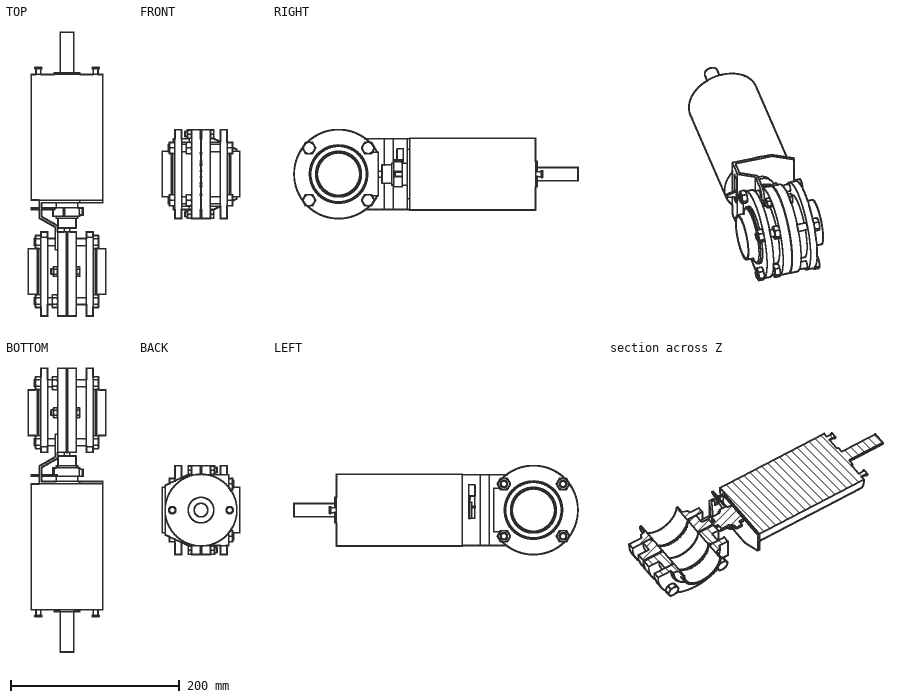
import cadquery as cq
import math


bore_diameter = 50.0
pipe_diameter = 54.0
pipe_end = 46.0
body_radius = 52.8
disc_half_thickness = 11.0
half_gap = 0.5
body_top = 47.0
hub_diameter = 76.0
flange_inner = 23.0
flange_outer = 31.0
seal_groove_diameter = 53.5
seal_groove_width = 1.7
shoulder_top = 40.5
tab_half_width = 26.0

fillet_start = 39.0
fillet_end = 36.0
fillet_end_radius = 29.0
collar_face = 35.0
collar_face_radius = 33.0
collar_chamfer_end = 33.3
collar_diameter = 69.0

flange_bolt_y = 35.0
flange_bolt_z = 31.0
flange_bolt_places = [
    (y, z)
    for y in (-flange_bolt_y, flange_bolt_y)
    for z in (-flange_bolt_z, flange_bolt_z)
]
flange_bolt_diameter = 8.5
flange_hex_flats = 13.5
flange_hex_height = 6.5
flange_bolt_end = 39.0
body_bolt_z = 47.5
body_bolt_diameter = 6.5
body_nut_flats = 10.0
body_nut_height = 5.0
body_head_height = 4.0
body_bolt_end = 19.0
hex_chamfer = 1.0
bolt_chamfer = 0.7

sheet = 3.0
bracket_half_width = 42.0
bracket_end = 25.5
bracket_end_rounding = 9.5
lower_bend_y = 52.5
upper_bend_y = 63.2
upper_leg_x = -33.0
slot_y = (69.2, 76.3)
slot_z = (-9.7, 30.0)
plate_chamfer_start = 15.0
plate_chamfer_angle = 25

actuator_diameter = 85.0
actuator_base = 84.5
actuator_top = 233.3
washer_diameter = 30.3
washer_height = 2.0
shaft_diameter = 16.0
shaft_end = 283.5
pin_offset = 34.0
pin_diameter = 6.0
pin_head_diameter = 8.5
pin_head_height = 2.0
pin_top = 241.7
pin_head_chamfer = 0.7

coupling_diameter = 26.0
coupling_step = 63.0
coupling_neck_diameter = 22.0
coupling_end = 51.0
coupling_chamfer = 0.7
stem_width = 7.0
ring_bottom = 65.2
ring_top = 75.3
ring_radius = 15.0
lobe_radius = 17.5
lobe_edge = 4.7
lobe_ramp_foot = 2.7
pointer_thickness = 2.0
pointer_tip_x = -42.5
pointer_tip_radius = 2.0
pointer_root_x = -13.5
pointer_root_half_width = 9.7
lug_end = 19.0
lug_bottom = 67.0
lug_half_width = 3.5
lug_chamfer = 1.0

plate_bottom = actuator_base - sheet


def y_cylinder(diameter, y_start, y_end, x=0):
    """Cylinder parallel to Y."""
    height = y_end - y_start
    return cq.Workplane("XZ", origin=(x, y_start, 0)).circle(diameter / 2).extrude(-height)


def x_cylinder(diameter, x_start, x_end, y=0, z=0):
    """Cylinder parallel to X."""
    return cq.Workplane("YZ", origin=(x_start, y, z)).circle(diameter / 2).extrude(x_end - x_start)


def y_prism(outline, y_start, y_end):
    """Extrude an outline of (x, z) points along Y."""
    flat = cq.Workplane("XZ", origin=(0, y_end, 0)).polyline(outline).close()
    return flat.extrude(y_end - y_start)


def box(x_range, y_range, z_range):
    """Box between the given limits."""
    sizes = [high - low for low, high in (x_range, y_range, z_range)]
    corner = (x_range[0], y_range[0], z_range[0])
    return cq.Workplane("XY").box(*sizes, centered=False).translate(corner)


def hexagon(flats, x_start, height, y, z):
    """Hexagon nut or bolt head along X, corners toward +-Y, both ends chamfered."""
    corners = flats / math.cos(math.pi / 6)
    prism = cq.Workplane("YZ", origin=(x_start, y, z)).polygon(6, corners).extrude(height)
    turned = x_cylinder(corners, x_start, x_start + height, y, z)
    return prism.intersect(turned.faces("<X or >X").chamfer(hex_chamfer / 2, hex_chamfer))


def below(level, x_range):
    """Box holding everything below Y = level within the given X range."""
    return box(x_range, (-2 * body_radius, level), (-2 * body_radius, 2 * body_radius))


def valve_half():
    """Plain body half on the +X side: disc and hub."""
    disc_x = (half_gap, disc_half_thickness)
    disc = x_cylinder(2 * body_radius, *disc_x).intersect(below(body_top, disc_x))
    half = disc.union(x_cylinder(hub_diameter, half_gap, flange_inner))
    half = half.cut(x_cylinder(bore_diameter, half_gap, flange_inner))
    return half.cut(x_cylinder(seal_groove_diameter, flange_inner - seal_groove_width, flange_inner))


def left_half():
    """Body half on the -X side with flange nuts away from the bracket and body bolt nuts."""
    half = valve_half().mirror("YZ")
    for z in (-flange_bolt_z, flange_bolt_z):
        nut_start = -disc_half_thickness - flange_hex_height
        nut = hexagon(flange_hex_flats, nut_start, flange_hex_height, -flange_bolt_y, z)
        hole = x_cylinder(flange_bolt_diameter, nut_start, -disc_half_thickness, -flange_bolt_y, z)
        half = half.union(nut.cut(hole))
    for z in (-body_bolt_z, body_bolt_z):
        bolt = x_cylinder(body_bolt_diameter, -body_bolt_end, -disc_half_thickness, 0, z)
        half = half.union(bolt.faces("<X").chamfer(bolt_chamfer))
        nut_start = -disc_half_thickness - body_nut_height
        half = half.union(hexagon(body_nut_flats, nut_start, body_nut_height, 0, z))
    return half


def right_half():
    """Body half on the +X side with the body bolt heads."""
    half = valve_half()
    for z in (-body_bolt_z, body_bolt_z):
        half = half.union(hexagon(body_nut_flats, disc_half_thickness, body_head_height, 0, z))
    return half


def pipe_end_body():
    """Pipe end on the +X side: flange with its tab, stepped collar, pipe and bolt shanks."""
    flange_x = (flange_inner, flange_outer)
    flange = x_cylinder(2 * body_radius, *flange_x).intersect(below(shoulder_top, flange_x))
    tab = box(flange_x, (0, body_top), (-tab_half_width, tab_half_width))

    pipe_radius = pipe_diameter / 2
    fillet_rise = fillet_end_radius - pipe_radius
    fillet_run = fillet_start - fillet_end
    bulge = 1 - math.sqrt(0.5)
    fillet_middle = (fillet_end + fillet_run * bulge, pipe_radius + fillet_rise * bulge)
    collar = (
        cq.Workplane("XY")
        .moveTo(flange_inner, 0)
        .lineTo(pipe_end, 0)
        .lineTo(pipe_end, pipe_radius)
        .lineTo(fillet_start, pipe_radius)
        .threePointArc(fillet_middle, (fillet_end, fillet_end_radius))
        .lineTo(collar_face, collar_face_radius)
        .lineTo(collar_chamfer_end, collar_diameter / 2)
        .lineTo(flange_inner, collar_diameter / 2)
        .close()
        .revolve(360, (0, 0, 0), (1, 0, 0))
    )
    body = flange.union(tab).union(collar).cut(x_cylinder(bore_diameter, flange_inner, pipe_end))
    for y, z in flange_bolt_places:
        body = body.union(x_cylinder(flange_bolt_diameter, disc_half_thickness, flange_outer, y, z))
        body = body.union(hexagon(flange_hex_flats, flange_outer, flange_hex_height, y, z))
    return body


def left_pipe_end():
    """Pipe end on the -X side, where the threaded bolt ends stand out of the nuts."""
    body = pipe_end_body().mirror("YZ")
    for y, z in flange_bolt_places:
        bolt = x_cylinder(flange_bolt_diameter, -flange_bolt_end, -flange_outer, y, z)
        body = body.union(bolt.faces("<X").chamfer(bolt_chamfer))
    return body


def bracket_sheet():
    """Folded sheet from the valve disc up to the plate under the actuator."""
    lower_out = -disc_half_thickness - sheet
    upper_in = upper_leg_x + sheet
    plate_end = actuator_diameter / 2
    slope = math.atan2(upper_bend_y - lower_bend_y, lower_out - upper_leg_x)
    bend_rise = sheet * math.tan(math.pi / 4 - slope / 2)
    outline = [
        (-disc_half_thickness, bracket_end),
        (-disc_half_thickness, lower_bend_y + bend_rise),
        (upper_in, upper_bend_y + bend_rise),
        (upper_in, plate_bottom),
        (plate_end, plate_bottom),
        (plate_end, actuator_base),
        (upper_leg_x, actuator_base),
        (upper_leg_x, upper_bend_y),
        (lower_out, lower_bend_y),
        (lower_out, bracket_end),
    ]
    start = cq.Workplane("XY", origin=(0, 0, -bracket_half_width))
    sheet_body = start.polyline(outline).close().extrude(2 * bracket_half_width)
    arm_corners = cq.selectors.BoxSelector(
        (lower_out - sheet, bracket_end - sheet, -2 * bracket_half_width),
        (0, bracket_end + sheet, 2 * bracket_half_width),
    )
    sheet_body = sheet_body.edges("|X").edges(arm_corners).fillet(bracket_end_rounding)

    chamfer_length = plate_end - plate_chamfer_start
    chamfer_depth = chamfer_length * math.tan(math.radians(plate_chamfer_angle))
    for side in (-1, 1):
        corner = [
            (plate_chamfer_start, side * bracket_half_width),
            (plate_end, side * bracket_half_width),
            (plate_end, side * (bracket_half_width - chamfer_depth)),
        ]
        sheet_body = sheet_body.cut(y_prism(corner, plate_bottom, actuator_base))

    sheet_body = sheet_body.cut(x_cylinder(hub_diameter, lower_out, 0))
    for z in (-flange_bolt_z, flange_bolt_z):
        sheet_body = sheet_body.cut(x_cylinder(flange_bolt_diameter, lower_out, 0, flange_bolt_y, z))
    return sheet_body.cut(box((upper_leg_x, upper_in), slot_y, slot_z))


def actuator_body():
    """Cylinder with the output shaft and two headed pins on its far end."""
    body = y_cylinder(actuator_diameter, actuator_base, actuator_top)
    body = body.union(y_cylinder(washer_diameter, actuator_top, actuator_top + washer_height))
    body = body.union(y_cylinder(shaft_diameter, actuator_top, shaft_end))
    for x in (-pin_offset, pin_offset):
        head = y_cylinder(pin_head_diameter, pin_top - pin_head_height, pin_top, x)
        body = body.union(y_cylinder(pin_diameter, actuator_top, pin_top, x))
        body = body.union(head.faces("<Y or >Y").chamfer(pin_head_chamfer))
    return body


def indicator_ring():
    """Ring with a raised lobe, a lug and a tapered pointer."""
    ring = y_cylinder(2 * ring_radius, ring_bottom, ring_top)

    lobe_reach = math.sqrt(lobe_radius**2 - lobe_edge**2)
    ramp_reach = math.sqrt(ring_radius**2 - lobe_ramp_foot**2)
    lobe_middle = lobe_radius * math.sqrt(0.5)
    lobe = (
        cq.Workplane("XZ", origin=(0, ring_top, 0))
        .moveTo(0, 0)
        .lineTo(-lobe_ramp_foot, ramp_reach)
        .lineTo(-lobe_edge, lobe_reach)
        .threePointArc((-lobe_middle, lobe_middle), (-lobe_reach, lobe_edge))
        .lineTo(-ramp_reach, lobe_ramp_foot)
        .close()
        .extrude(ring_top - ring_bottom)
    )
    tip_start = pointer_tip_x + pointer_tip_radius
    pointer = (
        cq.Workplane("XZ", origin=(0, ring_top, 0))
        .moveTo(0, -pointer_root_half_width)
        .lineTo(pointer_root_x, -pointer_root_half_width)
        .lineTo(tip_start, -pointer_tip_radius)
        .threePointArc((pointer_tip_x, 0), (tip_start, pointer_tip_radius))
        .lineTo(pointer_root_x, pointer_root_half_width)
        .lineTo(0, pointer_root_half_width)
        .close()
        .extrude(pointer_thickness)
    )
    lug = box((0, lug_end), (lug_bottom, ring_top), (-lug_half_width, lug_half_width))
    lug = lug.faces(">X").edges("|Y").chamfer(lug_chamfer)
    return ring.union(lobe).union(pointer).union(lug)


def coupling_body():
    """Stepped coupling below the bracket plate with its indicator ring and square stem."""
    wide = y_cylinder(coupling_diameter, coupling_step, plate_bottom)
    neck = y_cylinder(coupling_neck_diameter, coupling_end, coupling_step)
    neck = neck.faces("<Y").chamfer(coupling_chamfer)
    half = stem_width / 2
    stem = box((-half, half), (body_top, coupling_end), (-half, half))
    return wide.union(neck).union(indicator_ring()).union(stem)


left_end = left_pipe_end()
right_end = pipe_end_body()
left_body = left_half()
right_body = right_half()
bracket = bracket_sheet()
actuator = actuator_body()
coupling = coupling_body()

result = cq.Compound.makeCompound(
    [
        left_end.val(),
        right_end.val(),
        left_body.val(),
        right_body.val(),
        bracket.val(),
        actuator.val(),
        coupling.val(),
    ]
)